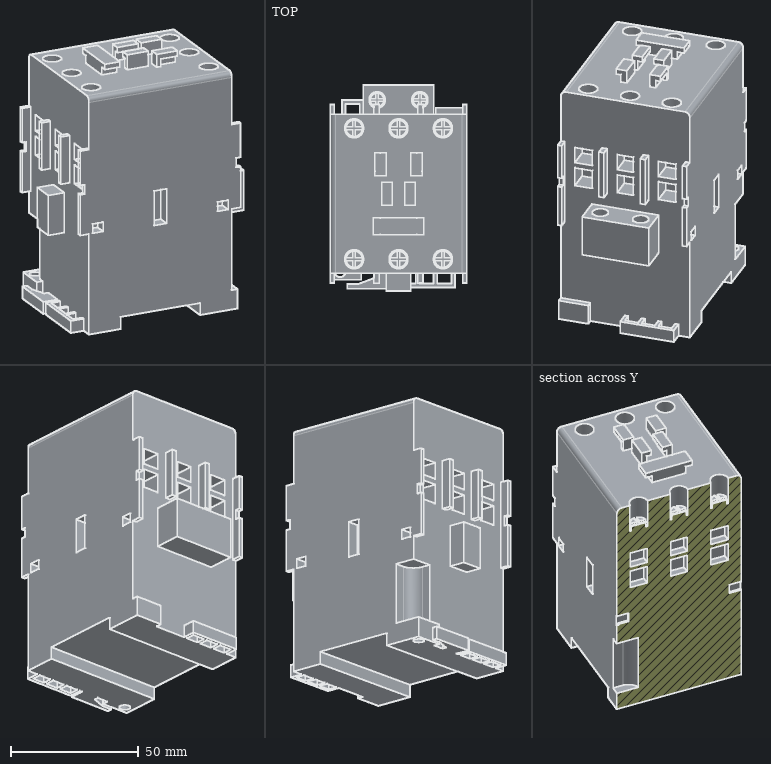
import cadquery as cq


width = 53.8
depth = 62.6
height = 100.1
top_edge_radius = 2.1
half_width = width / 2
half_depth = depth / 2

channel_width = 34.7
channel_height = 5.1

flange_reach = 35.1
flange_thickness = 1.7
flange_bottom = 42.5
flange_top = 78.0
notch_depth = 1.9
notch_bottom = 59.6
notch_top = 63.5
rib_width = 2.1
rib_bottom = 58.1
rib_x = 8.6

terminal_pitch = 17.5
window_depth = 8.5
outer_window_width = 7.2
centre_window_width = 6.8
window_rows = [(59.2, 67.0), (69.4, 76.1)]
screw_row_y = 25.7
screw_bore_diameter = 7.5
screw_bore_depth = 12.8
screw_head_diameter = 6.5
screw_head_height = 3.2
driver_slot_width = 1.1
driver_slot_depth = 1.1

block_bottom = 35.4
block_top = 52.2
coil_block_width = 27.9
coil_block_reach = 42.9
coil_screw_x = 8.4
coil_screw_y = 36.9
coil_bore_diameter = 6.4
coil_bore_depth = 8.5
coil_head_diameter = 5.4
front_block_width = 9.8
front_block_reach = 38.3

foot_width = 12.3
foot_reach = 33.8
foot_height = 8.2
foot_hole_diameter = 4.4
foot_hole_x = -23.0
foot_hole_y = -30.5
recess_width = 9.6
recess_depth = 9.2
recess_top = 32.8
recess_radius = 5.3

comb_start_x = -0.2
comb_end_x = 22.2
comb_reach = 36.9
comb_bar_thickness = 1.7
tooth_width = 1.5
tooth_count = 4
latch_tip_x = -20.2
latch_bend_x = -15.7
latch_shoulder_x = -9.6
latch_end_x = -1.3
latch_reach = 37.5
latch_tip_thickness = 2.0
latch_shoulder_y = -33.1

hook_lip_thickness = 2.2
outer_hook_top = 105.5
outer_hook_inner_x = 4.8
outer_hook_stem_x = 7.2
outer_hook_outer_x = 9.3
outer_hook_front_y = 7.0
outer_hook_rear_y = 16.1
outer_hook_post_length = 1.8
inner_hook_top = 106.4
inner_hook_inner_x = 2.5
inner_hook_stem_x = 4.4
inner_hook_outer_x = 6.6
inner_hook_half_length = 4.6
bar_lip_width = 20.0
bar_stem_width = 2 * outer_hook_stem_x
bar_front_y = -16.1
bar_rear_y = -9.5

pocket_depth = 5.1
slot_width = 5.3
slot_bottom = 41.2
slot_top = 55.8
socket_width = 4.6
socket_bottom = flange_bottom
socket_top = 46.4
socket_y = 27.3


def box(x0, x1, y0, y1, z0, z1):
    """Box between opposite corner coordinates."""
    return cq.Workplane("XY").box(x1 - x0, y1 - y0, z1 - z0, centered=False).translate((x0, y0, z0))


def cylinder(x, y, z0, z1, diameter):
    """Upright cylinder between two heights."""
    return cq.Workplane("XY", origin=(x, y, z0)).circle(diameter / 2).extrude(z1 - z0)


def half_turn(shape):
    """Copy turned half way round the vertical axis."""
    return shape.rotate((0, 0, 0), (0, 0, 1), 180)


def housing():
    """Box with rounded long top edges and the rail channel below."""
    shell = box(-half_width, half_width, -half_depth, half_depth, 0, height)
    shell = shell.edges(">Z and |Y").fillet(top_edge_radius)
    return shell.cut(
        box(-half_width, half_width, -channel_width / 2, channel_width / 2, 0, channel_height)
    )


def side_flange():
    """Flange plate along the left wall, notched on its front and rear edges."""
    inner_x = -half_width + flange_thickness
    plate = box(-half_width, inner_x, -flange_reach, flange_reach, flange_bottom, flange_top)
    notch = box(
        -half_width, inner_x, -flange_reach, -flange_reach + notch_depth, notch_bottom, notch_top
    )
    return plate.cut(notch).cut(notch.mirror("XZ"))


def divider_rib(x):
    """Rib standing out of both terminal faces."""
    return box(x - rib_width / 2, x + rib_width / 2, -flange_reach, flange_reach, rib_bottom, flange_top)


def window(x, window_width, bottom, top):
    """Cutter for one wire entry in the front face."""
    return box(
        x - window_width / 2, x + window_width / 2,
        -half_depth, -half_depth + window_depth,
        bottom, top,
    )


def add_recessed_screw(body, x, y, top, bore_diameter, bore_depth, head_diameter):
    """Sink a bore from the given height and stand a cross-slotted screw head on its floor."""
    floor = top - bore_depth
    head_top = floor + screw_head_height
    head = cylinder(x, y, floor, head_top, head_diameter)
    long_side = head_diameter / 2
    short_side = driver_slot_width / 2
    for half_x, half_y in [(long_side, short_side), (short_side, long_side)]:
        head = head.cut(
            box(x - half_x, x + half_x, y - half_y, y + half_y, head_top - driver_slot_depth, head_top)
        )
    return body.cut(cylinder(x, y, floor, top, bore_diameter)).union(head)


def foot():
    """Block in the front left corner that reaches past the front face."""
    return box(
        -half_width, -half_width + foot_width, -foot_reach, -half_depth + recess_depth, 0, foot_height
    )


def foot_recess():
    """Cutter for the screwdriver space above the foot, with its inner corner rounded."""
    recess = box(
        -half_width, -half_width + recess_width,
        -half_depth, -half_depth + recess_depth,
        foot_height, recess_top,
    )
    return recess.edges("|Z and >X and >Y").fillet(recess_radius)


def comb():
    """Spring comb: a bar in front of the face, joined to it by evenly spaced teeth."""
    shape = box(
        comb_start_x, comb_end_x, -comb_reach, -comb_reach + comb_bar_thickness, 0, channel_height
    )
    pitch = (comb_end_x - comb_start_x - tooth_width) / (tooth_count - 1)
    for i in range(tooth_count):
        x = comb_start_x + i * pitch
        shape = shape.union(box(x, x + tooth_width, -comb_reach, -half_depth, 0, channel_height))
    return shape


def latch():
    """Tapered latch arm beside the comb."""
    tip_y = -latch_reach + latch_tip_thickness
    return (
        cq.Workplane("XY")
        .moveTo(latch_tip_x, -latch_reach)
        .lineTo(latch_end_x, -latch_reach)
        .lineTo(latch_end_x, -half_depth)
        .lineTo(latch_shoulder_x, -half_depth)
        .lineTo(latch_shoulder_x, latch_shoulder_y)
        .lineTo(latch_bend_x, tip_y)
        .lineTo(latch_tip_x, tip_y)
        .close()
        .extrude(channel_height)
    )


def outer_hook():
    """Right rear hook: its lip overhangs outwards and rests on a full post at the front."""
    lip_bottom = outer_hook_top - hook_lip_thickness
    post_end = outer_hook_front_y + outer_hook_post_length
    stem = box(
        outer_hook_inner_x, outer_hook_stem_x, outer_hook_front_y, outer_hook_rear_y, height, lip_bottom
    )
    post = box(outer_hook_inner_x, outer_hook_outer_x, outer_hook_front_y, post_end, height, lip_bottom)
    lip = box(
        outer_hook_inner_x, outer_hook_outer_x,
        outer_hook_front_y, outer_hook_rear_y,
        lip_bottom, outer_hook_top,
    )
    return stem.union(post).union(lip)


def inner_hook():
    """Right middle hook: its lip overhangs towards the centre."""
    lip_bottom = inner_hook_top - hook_lip_thickness
    front_y = -inner_hook_half_length
    rear_y = inner_hook_half_length
    stem = box(inner_hook_stem_x, inner_hook_outer_x, front_y, rear_y, height, lip_bottom)
    lip = box(inner_hook_inner_x, inner_hook_outer_x, front_y, rear_y, lip_bottom, inner_hook_top)
    return stem.union(lip)


def front_bar():
    """T-shaped bar across the front of the top face."""
    lip_bottom = outer_hook_top - hook_lip_thickness
    stem = box(-bar_stem_width / 2, bar_stem_width / 2, bar_front_y, bar_rear_y, height, lip_bottom)
    lip = box(-bar_lip_width / 2, bar_lip_width / 2, bar_front_y, bar_rear_y, lip_bottom, outer_hook_top)
    return stem.union(lip)


def side_pockets():
    """Cutter for the slot and two square sockets in the left wall."""
    inner_x = -half_width + pocket_depth
    pockets = box(-half_width, inner_x, -slot_width / 2, slot_width / 2, slot_bottom, slot_top)
    for y in (-socket_y, socket_y):
        pockets = pockets.union(
            box(
                -half_width, inner_x,
                y - socket_width / 2, y + socket_width / 2,
                socket_bottom, socket_top,
            )
        )
    return pockets


body = housing()

body = body.union(side_flange()).union(side_flange().mirror("YZ"))
for x in (-rib_x, rib_x):
    body = body.union(divider_rib(x))

body = body.union(
    box(-coil_block_width / 2, coil_block_width / 2, 0, coil_block_reach, block_bottom, block_top)
)
body = body.union(
    box(-front_block_width / 2, front_block_width / 2, -front_block_reach, 0, block_bottom, block_top)
)

body = body.cut(foot_recess())
body = body.union(foot()).union(half_turn(foot()))
foot_hole = cylinder(foot_hole_x, foot_hole_y, 0, foot_height, foot_hole_diameter)
body = body.cut(foot_hole)

body = body.union(comb()).union(half_turn(comb())).union(latch())

for column in (-1, 0, 1):
    terminal_x = column * terminal_pitch
    window_width = outer_window_width if column else centre_window_width
    for bottom, top in window_rows:
        entry = window(terminal_x, window_width, bottom, top)
        body = body.cut(entry).cut(entry.mirror("XZ"))
    for y in (-screw_row_y, screw_row_y):
        body = add_recessed_screw(
            body, terminal_x, y, height, screw_bore_diameter, screw_bore_depth, screw_head_diameter
        )

for x in (-coil_screw_x, coil_screw_x):
    body = add_recessed_screw(
        body, x, coil_screw_y, block_top, coil_bore_diameter, coil_bore_depth, coil_head_diameter
    )

for hook in (outer_hook(), inner_hook()):
    body = body.union(hook).union(hook.mirror("YZ"))
body = body.union(front_bar())

body = body.cut(side_pockets()).cut(side_pockets().mirror("YZ"))

result = body